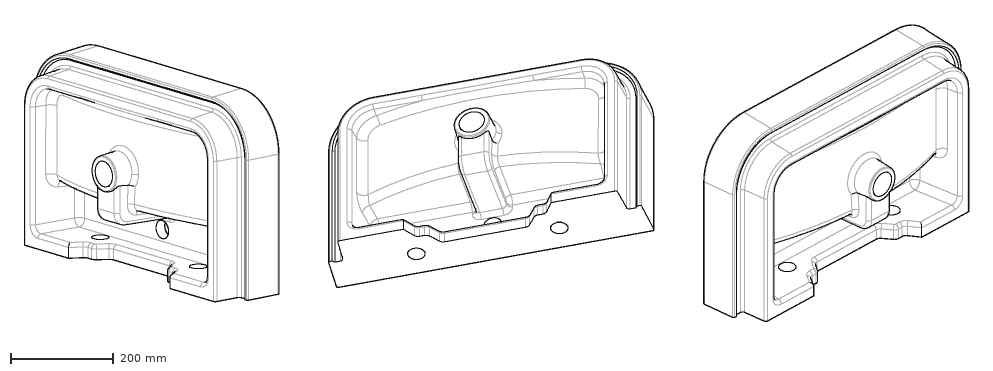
import cadquery as cq
import math

flange_depth = 80.0
body_depth = 135.0
boss_depth = 175.0
deck_depth = 23.0

trim_length = 100.0
gap = 0.5

flange_half_width = 322.43
flange_height = 394.93
flange_corner = 111.0
flange_inset = 5.0
rim_round = 4.0
lip_round = 3.0

lip_width = 8.0
lip_depth = 4.5
lip_inset = 4.0

body_step = 34.0
body_inset = 5.0
step_round = 6.0
body_round = 5.0

cavity_step = 65.5
cavity_inset = 14.0
cavity_round = 15.0
plate_thickness = 30.0
mouth_round = 8.0

bowl_edge_half_width = 226.0
bowl_foot_z = 125.0
bowl_low_z = 133.0
bowl_high_z = 340.0
bowl_edge_depth = 93.0
bowl_low_crown = 134.0
bowl_high_crown = 120.0

drain_z = 208.7
drain_radius = 25.6
boss_tip_radius = 36.0
boss_root_radius = 43.0
boss_tip_round = 2.0
boss_root_depth = 75.0
channel_half_width = 31.0
channel_root_z = 98.0
channel_tip_z = 106.0
channel_depth = 168.5
channel_nose_round = 28.0
channel_edge_round = 8.0
channel_root_round = 10.0
tap_z = 69.0
tap_radius = 18.4
plate_hole_x = 145.0
plate_hole_depth = 57.0
plate_hole_radius = 17.0

recess_steps = [(150.0, body_depth), (131.0, 106.0), (109.0, 106.0), (88.0, 77.0)]
recess_round = 11.0


def arch(start_depth, end_depth, step, inset, lowest_z=0.0):
    """Round-cornered arch, drafted inward by inset from start_depth to end_depth."""
    half_width = flange_half_width - step
    height = flange_height - step
    corner = flange_corner - step
    length = end_depth - start_depth
    blank = (
        cq.Workplane("XZ", origin=(0, -start_depth, 0))
        .center(0, (height - trim_length) / 2)
        .sketch()
        .rect(2 * half_width, height + trim_length)
        .vertices(">Y")
        .fillet(corner)
        .finalize()
        .extrude(length, taper=math.degrees(math.atan2(inset, abs(length))))
    )
    keep = cq.Workplane("XY", origin=(0, 0, lowest_z)).box(
        3 * half_width, 4 * body_depth, 2 * height, centered=(True, True, False)
    )
    return blank.intersect(keep)


def make_shell():
    """Rim flange with its drip lip, and the smaller body behind it."""
    flange = arch(0, flange_depth, 0, flange_inset)
    flange = flange.faces(">Y").edges("not(<Z)").fillet(rim_round)
    flange = flange.faces("<Y").edges("not(<Z)").fillet(lip_round)
    undercut = arch(flange_depth, flange_depth - lip_depth, flange_inset + lip_width, lip_inset)
    body = arch(flange_depth - lip_depth, body_depth, body_step, body_inset)
    body = body.faces("<Y").edges("not(<Z)").fillet(body_round)
    shell = flange.cut(undercut).union(body)
    step_y = lip_depth - flange_depth
    body_half_width = flange_half_width - body_step

    def is_step_corner(box):
        in_step_face = abs(box.ymin - step_y) < gap and abs(box.ymax - step_y) < gap
        on_body = max(-box.xmin, box.xmax) < body_half_width + gap
        return in_step_face and on_body and box.zmax > gap and box.zmax < flange_height - body_step + gap

    return fillet_where(shell, step_round, is_step_corner)


def bowl_section(z, crown_depth):
    """Plan section of the bowl underside at height z: one shallow arc, deepest at X = 0."""
    side = flange_half_width
    sag = (crown_depth - bowl_edge_depth) * (side / bowl_edge_half_width) ** 2
    return (
        cq.Workplane("XY", origin=(0, 0, z))
        .moveTo(-side, 0)
        .lineTo(-side, sag - crown_depth)
        .threePointArc((0, -crown_depth), (side, sag - crown_depth))
        .lineTo(side, 0)
        .close()
        .wire()
        .val()
    )


def make_bowl():
    """Bowl underside, with a drafted wall facing the plate."""
    sections = [bowl_section(bowl_foot_z, bowl_low_crown), bowl_section(bowl_high_z, bowl_high_crown)]
    bowl = cq.Workplane(cq.Solid.makeLoft(sections, True))
    draft_slope = (bowl_low_z - bowl_foot_z) / (bowl_low_crown - deck_depth)
    below_wall = (
        cq.Workplane("YZ", origin=(-flange_half_width, 0, 0))
        .moveTo(0, bowl_foot_z - draft_slope * deck_depth)
        .lineTo(-boss_depth, bowl_foot_z + draft_slope * (boss_depth - deck_depth))
        .lineTo(-boss_depth, 0)
        .lineTo(0, 0)
        .close()
        .extrude(2 * flange_half_width)
    )
    return bowl.cut(below_wall)


def fillet_where(shape, radius, is_wanted):
    """Round the edges whose bounding box satisfies is_wanted."""
    edges = [edge for edge in shape.edges().vals() if is_wanted(edge.BoundingBox())]
    return cq.Workplane(shape.val().fillet(radius, edges))


def make_cavity():
    """Underside cavity around the bowl, all inner corners rounded."""
    cavity = arch(body_depth, deck_depth, cavity_step, cavity_inset, plate_thickness)
    cavity = cavity.cut(make_bowl())

    def is_inner_corner(box):
        reaches_mouth = box.ymin < gap - body_depth
        lies_in_mouth = box.ymax < gap - body_depth
        lies_on_plate = box.zmax < plate_thickness + gap
        return not reaches_mouth or (lies_on_plate and not lies_in_mouth)

    return fillet_where(cavity, cavity_round, is_inner_corner)


def make_plate_recess():
    """Cutter for the stepped recess in the free edge of the wall-side plate."""
    right = [(x, -depth) for x, depth in recess_steps]
    left = [(-x, y) for x, y in reversed(right)]
    mouth_x = right[0][0]
    outside = [(-mouth_x, -boss_depth), (mouth_x, -boss_depth)]
    cutter = cq.Workplane("XY").polyline(right + left + outside).close().extrude(plate_thickness)
    return fillet_where(
        cutter,
        recess_round,
        lambda box: box.zmax - box.zmin > gap and box.ymin > gap - body_depth,
    )


def round_mouth(shape):
    """Round the cavity mouth and the recessed plate edge in one run."""
    mouth_half_width = flange_half_width - cavity_step

    def is_mouth(box):
        above_plate = box.zmin > plate_thickness - gap
        in_face = box.ymax < gap - body_depth and max(-box.xmin, box.xmax) < mouth_half_width + gap
        recess_edge = (
            box.zmax < plate_thickness + gap
            and max(-box.xmin, box.xmax) < recess_steps[0][0] + gap
            and box.ymax < gap - recess_steps[-1][1]
        )
        return above_plate and (in_face or recess_edge)

    return fillet_where(shape, mouth_round, is_mouth)


def make_channel():
    """Overflow channel running from the drain boss down to the deck."""
    root_y = gap - deck_depth
    channel = (
        cq.Workplane("YZ", origin=(-channel_half_width, 0, 0))
        .moveTo(root_y, channel_root_z)
        .lineTo(-channel_depth, channel_tip_z)
        .lineTo(-channel_depth, drain_z)
        .lineTo(root_y, drain_z)
        .close()
        .extrude(2 * channel_half_width)
    )
    channel = channel.edges("|X").edges("<Y").edges("<Z").fillet(channel_nose_round)
    return fillet_where(
        channel,
        channel_edge_round,
        lambda box: box.xmax - box.xmin < gap and box.ymin < -body_depth and box.zmin < drain_z - gap,
    )


def make_boss():
    """Drafted drain boss, rooted inside the bowl."""
    length = boss_depth - boss_root_depth
    draft = math.degrees(math.atan2(boss_root_radius - boss_tip_radius, length))
    boss = (
        cq.Workplane("XZ", origin=(0, -boss_depth, drain_z))
        .circle(boss_tip_radius)
        .extrude(-length, taper=-draft)
    )
    return boss.faces("<Y").edges().fillet(boss_tip_round)


def add_drain(shape):
    """Join boss and channel to the shape and round their roots."""
    joined = shape.union(make_channel()).union(make_boss())
    reach = boss_root_radius + gap

    def is_root(box):
        near_boss = -reach < box.xmin and box.xmax < reach
        in_height = tap_z < box.zmin and box.zmax < drain_z + reach
        on_bowl_or_deck = box.ymin > -bowl_low_crown
        return near_boss and in_height and on_bowl_or_deck

    return fillet_where(joined, channel_root_round, is_root)


def drill(shape):
    """Drain and tap holes through the deck, and the two holes in the plate."""
    for z, radius in [(drain_z, drain_radius), (tap_z, tap_radius)]:
        shape = shape.cut(cq.Workplane("XZ", origin=(0, 0, z)).circle(radius).extrude(boss_depth))
    plate_holes = (
        cq.Workplane("XY")
        .pushPoints([(-plate_hole_x, -plate_hole_depth), (plate_hole_x, -plate_hole_depth)])
        .circle(plate_hole_radius)
        .extrude(plate_thickness)
    )
    return shape.cut(plate_holes)


basin = make_shell().cut(make_cavity()).cut(make_plate_recess())
result = drill(add_drain(round_mouth(basin)))